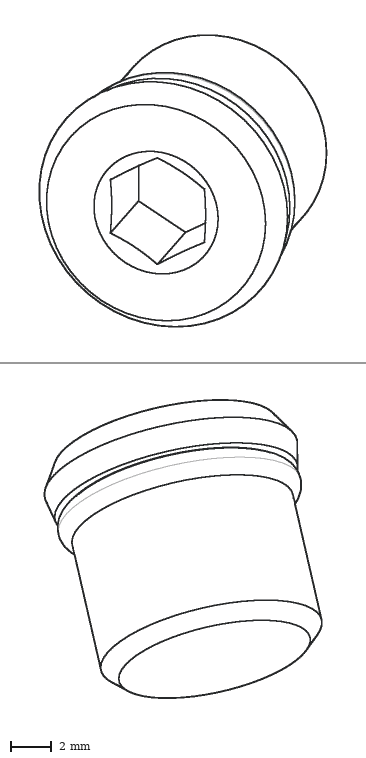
import cadquery as cq
import math

length = 11.43
head_radius = 6.35
head_face_radius = 5.6
head_back_radius = 6.1
head_bevel_length = 1.26
head_length = 2.51

body_radius = 5.55
body_chamfer = 0.75

ring_outer_radius = 6.1
ring_width = 1.5

hex_across_flats = 4.8
hex_depth = 5.08
countersink_radius = 3.18
countersink_slope = 30.0


def revolve_about_y(profile):
    return profile.close().revolve(360, (0, 0, 0), (0, 1, 0))


def make_plug():
    """Double-tapered head and chamfered body as one turned shape."""
    profile = (
        cq.Workplane("XY")
        .lineTo(head_face_radius, 0)
        .lineTo(head_radius, head_bevel_length)
        .lineTo(head_back_radius, head_length)
        .lineTo(body_radius, head_length)
        .lineTo(body_radius, length - body_chamfer)
        .lineTo(body_radius - body_chamfer, length)
        .lineTo(0, length)
    )
    return revolve_about_y(profile)


def make_sealing_ring():
    """Round-section ring seated against the back of the head."""
    section_radius = ring_width / 2
    section = cq.Workplane("XY").center(
        ring_outer_radius - section_radius, head_length + section_radius
    ).circle(section_radius)
    center_offset = (section_radius - ring_outer_radius, 0, 0)
    return section.revolve(360, center_offset, (center_offset[0], 1, 0))


def make_hex_socket():
    """Hexagonal key recess with two corners on the Z axis."""
    corner_diameter = hex_across_flats / math.cos(math.radians(30))
    return (
        cq.Workplane("XZ")
        .transformed(rotate=(0, 0, 90))
        .polygon(6, corner_diameter)
        .extrude(-hex_depth)
    )


def make_countersink():
    """Conical lead-in to the socket, ending inside the hexagon."""
    cone_depth = (countersink_radius - hex_across_flats / 2) * math.tan(math.radians(countersink_slope))
    profile = (
        cq.Workplane("XY")
        .lineTo(countersink_radius, 0)
        .lineTo(hex_across_flats / 2, cone_depth)
        .lineTo(0, cone_depth)
    )
    return revolve_about_y(profile)


result = make_plug().union(make_sealing_ring()).cut(make_hex_socket()).cut(make_countersink())